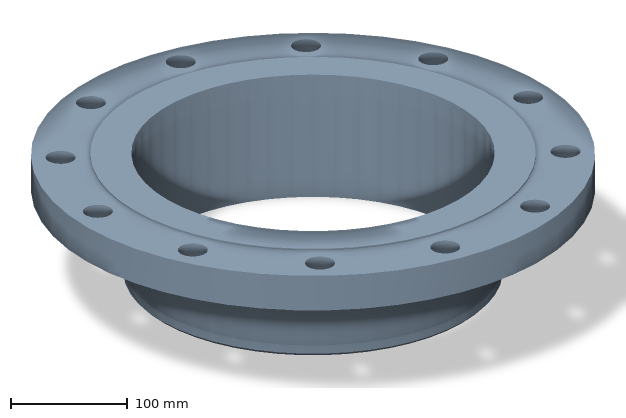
import cadquery as cq

outer_radius = 241.5
total_height = 116.0
bore_radius = 155.5

flange_thickness = 33.0
face_height = 1.5
face_radius = 190.5

bolt_count = 12
bolt_circle_radius = 215.95
bolt_hole_diameter = 25.5

pipe_end_radius = 162.0
pipe_end_height = 10.5
pipe_end_chamfer = 3.0
flare_mid_radius = 168.5
flare_top_radius = 179.5
fillet_height = 5.5
fillet_width = 5.5

flange_top = total_height - face_height
flange_bottom = flange_top - flange_thickness
flare_top = flange_bottom - fillet_height
flare_middle = (pipe_end_height + flare_top) / 2


def make_body():
    """Half section in the XZ plane, revolved about Z."""
    section = (
        cq.Workplane("XZ")
        .moveTo(bore_radius, 0)
        .lineTo(pipe_end_radius - pipe_end_chamfer, 0)
        .lineTo(pipe_end_radius, pipe_end_chamfer)
        .lineTo(pipe_end_radius, pipe_end_height)
        .threePointArc((flare_mid_radius, flare_middle), (flare_top_radius, flare_top))
        .tangentArcPoint((flare_top_radius + fillet_width, flange_bottom), relative=False)
        .lineTo(outer_radius, flange_bottom)
        .lineTo(outer_radius, flange_top)
        .lineTo(face_radius, flange_top)
        .lineTo(face_radius, total_height)
        .lineTo(bore_radius, total_height)
        .close()
    )
    return section.revolve(360, (0, 0, 0), (0, 1, 0))


def make_bolt_holes():
    """Ring of cylinders through the flange, the first one on +X."""
    return (
        cq.Workplane("XY", origin=(0, 0, flange_bottom))
        .polarArray(bolt_circle_radius, 0, 360, bolt_count)
        .circle(bolt_hole_diameter / 2)
        .extrude(flange_thickness)
    )


result = make_body().cut(make_bolt_holes())